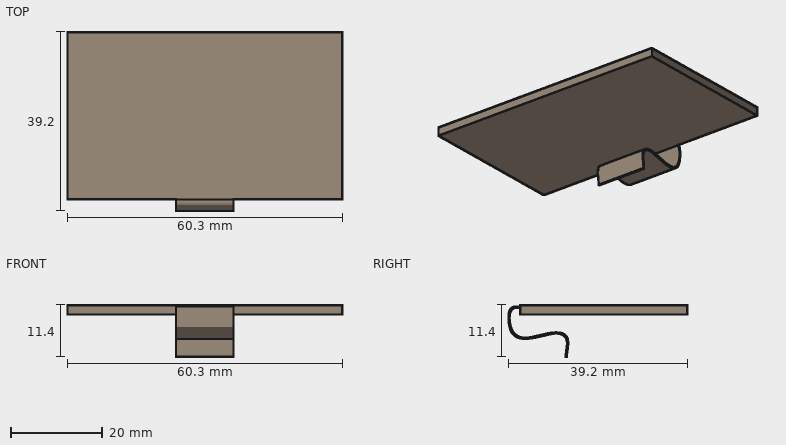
import cadquery as cq

PANEL_WIDTH = 60.3
PANEL_DEPTH = 36.65
PANEL_THICKNESS = 2.05

STRIP_WIDTH = 12.65
STRIP_THICKNESS = 0.3
STRIP_DROP = 0.4
STRIP_LEAD = 1.0

STRIP_BENDS = [
    (-1.9, -0.9),
    (-2.4, -2.6),
    (-2.25, -4.45),
    (-1.6, -5.95),
    (-0.35, -7.0),
    (1.0, -7.25),
    (5.2, -6.5),
    (8.2, -6.1),
    (9.4, -6.4),
    (10.2, -7.2),
    (10.45, -8.4),
    (10.15, -11.35),
]


def make_panel():
    """Plain rectangular plate."""
    return cq.Workplane("XY").box(
        PANEL_WIDTH, PANEL_DEPTH, PANEL_THICKNESS, centered=(True, False, False)
    ).translate((0, 0, -PANEL_THICKNESS))


def make_strip():
    """Ribbon of constant thickness swept along its curled middle line."""
    lead_end = (-STRIP_LEAD, -STRIP_DROP)
    middle_line = (
        cq.Workplane("YZ")
        .moveTo(0, -STRIP_DROP)
        .lineTo(*lead_end)
        .spline(STRIP_BENDS, includeCurrent=True)
    )
    return (
        cq.Workplane("XZ", origin=(0, 0, -STRIP_DROP))
        .rect(STRIP_WIDTH, STRIP_THICKNESS)
        .sweep(middle_line)
    )


panel = make_panel()
strip = make_strip()

result = cq.Compound.makeCompound([panel.val(), strip.val()])